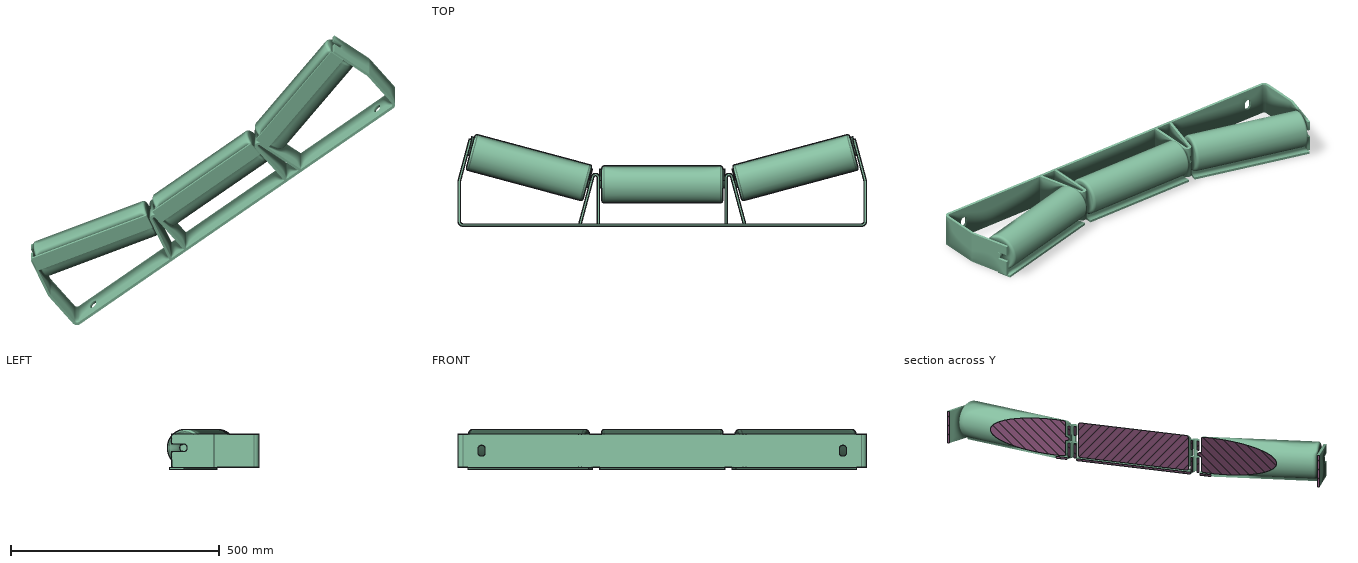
import cadquery as cq
import math

HALF_WIDTH = 490.0
FRAME_HEIGHT = 79.0
SHEET = 6.4
CORNER_RADIUS = 13.0
KNEE_RADIUS = 9.0
TILT = 15.0

ROLLER_RADIUS = 44.6
ROLLER_LENGTH = 290.0
ROLLER_EDGE = 6.0
SHAFT_RADIUS = 9.3
AXIS_HEIGHT = 46.55
MIDDLE_CENTER = (0.0, 101.0)
SIDE_CENTER = (319.0, 141.0)

WALL_INNER = 150.0
WALL_OUTER = WALL_INNER + SHEET
WALL_TIP = 29.0
ARCH_TOP = 127.0
SLOT_REACH = 98.0

PLATE_LENGTH = 2 * WALL_INNER
PLATE_WIDTH = 36.0
PLATE_THICKNESS = 6.0
SIDE_PLATE_SHIFT = 2.0

MOUNT_X = 433.0
MOUNT_WIDTH = 18.0
MOUNT_HEIGHT = 26.0

SIN = math.sin(math.radians(TILT))
COS = math.cos(math.radians(TILT))

STATIONS = [
    ((-SIDE_CENTER[0], SIDE_CENTER[1]), -TILT),
    (MIDDLE_CENTER, 0.0),
    (SIDE_CENTER, TILT),
]


def side_point(along, behind):
    """Point given along the right roller's axis and square to it, to the rear."""
    x = SIDE_CENTER[0] + along * COS - behind * SIN
    y = SIDE_CENTER[1] + along * SIN + behind * COS
    return (x, y)


def side_wall_y(along, x):
    """Y at which the wall plane square to the right roller's axis reaches a given X."""
    return SIDE_CENTER[1] + (along - (x - SIDE_CENTER[0]) * COS) / SIN


def side_wall_x(along, y):
    """X at which the wall plane square to the right roller's axis reaches a given Y."""
    return SIDE_CENTER[0] + (along - (y - SIDE_CENTER[1]) * SIN) / COS


def place(body, station):
    """Move a body built around a roller center along X to its station."""
    (x, y), turn = station
    return body.rotate((0, 0, 0), (0, 0, 1), turn).translate((x, y, 0))


def shaft_slot(station, first, last):
    """Cutter for a slot that starts round at the shaft and runs out to the rear."""
    length = last - first
    round_end = cq.Workplane("YZ", origin=(first, 0, AXIS_HEIGHT)).circle(SHAFT_RADIUS).extrude(length)
    opening = cq.Workplane("XY").box(
        length, SLOT_REACH, 2 * SHAFT_RADIUS, centered=(False, False, True)
    ).translate((first, 0, AXIS_HEIGHT))
    return place(round_end.union(opening), station)


def make_frame():
    """Bent strip: straight front, two side legs, and leg ends tilted with the rollers."""
    inside_x = HALF_WIDTH - SHEET
    outer_corner = (HALF_WIDTH, 0)
    outer_knee = (HALF_WIDTH, side_wall_y(WALL_OUTER, HALF_WIDTH))
    inner_knee = (inside_x, side_wall_y(WALL_INNER, inside_x))
    inner_corner = (inside_x, SHEET)
    right_half = [
        outer_corner,
        outer_knee,
        side_point(WALL_OUTER, WALL_TIP),
        side_point(WALL_INNER, WALL_TIP),
        inner_knee,
        inner_corner,
    ]
    left_half = [(-x, y) for x, y in reversed(right_half)]
    frame = cq.Workplane("XY").polyline(right_half + left_half).close().extrude(FRAME_HEIGHT)

    for (x, y), radius in [
        (outer_corner, CORNER_RADIUS),
        (outer_knee, KNEE_RADIUS),
        (inner_knee, KNEE_RADIUS - SHEET),
        (inner_corner, CORNER_RADIUS - SHEET),
    ]:
        for side in (-1, 1):
            bend = cq.selectors.NearestToPointSelector((side * x, y, FRAME_HEIGHT / 2))
            frame = frame.edges("|Z").edges(bend).fillet(radius)

    mount_slots = (
        cq.Workplane("XZ", origin=(0, 0, FRAME_HEIGHT / 2))
        .pushPoints([(-MOUNT_X, 0), (MOUNT_X, 0)])
        .slot2D(MOUNT_HEIGHT, MOUNT_WIDTH, 90)
        .extrude(-SHEET)
    )
    frame = frame.cut(mount_slots)

    left, _, right = STATIONS
    frame = frame.cut(shaft_slot(left, -WALL_OUTER, -WALL_INNER))
    frame = frame.cut(shaft_slot(right, WALL_INNER, WALL_OUTER))
    return frame


def make_right_bracket():
    """Folded sheet between the middle and right rollers: upright leg, arch, tilted leg."""
    apex_y = side_wall_y(-WALL_INNER, WALL_INNER)
    half_angle_tan = math.tan(math.radians(TILT / 2))
    outer_radius = (apex_y - ARCH_TOP) / (1 / half_angle_tan - 1)
    inner_radius = outer_radius - SHEET
    center_x = WALL_INNER + outer_radius
    center_y = ARCH_TOP - outer_radius

    def tilted_tangent(radius):
        return (center_x + radius * COS, center_y + radius * SIN)

    bracket = (
        cq.Workplane("XY")
        .moveTo(WALL_INNER, SHEET)
        .lineTo(WALL_INNER, center_y)
        .threePointArc((center_x, ARCH_TOP), tilted_tangent(outer_radius))
        .lineTo(side_wall_x(-WALL_INNER, SHEET), SHEET)
        .lineTo(side_wall_x(-WALL_OUTER, SHEET), SHEET)
        .lineTo(*tilted_tangent(inner_radius))
        .threePointArc((center_x, center_y + inner_radius), (WALL_OUTER, center_y))
        .lineTo(WALL_OUTER, SHEET)
        .close()
        .extrude(FRAME_HEIGHT)
    )
    _, middle, right = STATIONS
    bracket = bracket.cut(shaft_slot(middle, WALL_INNER, WALL_OUTER))
    bracket = bracket.cut(shaft_slot(right, -WALL_OUTER, -WALL_INNER))
    return bracket


def make_roller(station):
    """Round-edged roller with shaft ends that reach through the sheet walls."""
    drum = (
        cq.Workplane("YZ", origin=(-ROLLER_LENGTH / 2, 0, AXIS_HEIGHT))
        .circle(ROLLER_RADIUS)
        .extrude(ROLLER_LENGTH)
        .edges()
        .fillet(ROLLER_EDGE)
    )
    shaft = (
        cq.Workplane("YZ", origin=(-WALL_OUTER, 0, AXIS_HEIGHT))
        .circle(SHAFT_RADIUS)
        .extrude(2 * WALL_OUTER)
    )
    return place(drum.union(shaft), station)


def make_tie_plate(station, shift):
    """Flat plate below a roller, reaching to the rear from below the roller axis."""
    plate = cq.Workplane("XY").box(
        PLATE_LENGTH, PLATE_WIDTH, PLATE_THICKNESS, centered=(True, False, False)
    ).translate((shift, 0, -PLATE_THICKNESS))
    return place(plate, station)


frame = make_frame()
right_bracket = make_right_bracket()
left_bracket = right_bracket.mirror("YZ")
rollers = [make_roller(station) for station in STATIONS]
plate_shifts = (-SIDE_PLATE_SHIFT, 0, SIDE_PLATE_SHIFT)
tie_plates = [make_tie_plate(station, shift) for station, shift in zip(STATIONS, plate_shifts)]

bodies = [frame, left_bracket, right_bracket, *rollers, *tie_plates]
result = cq.Compound.makeCompound([body.val() for body in bodies])